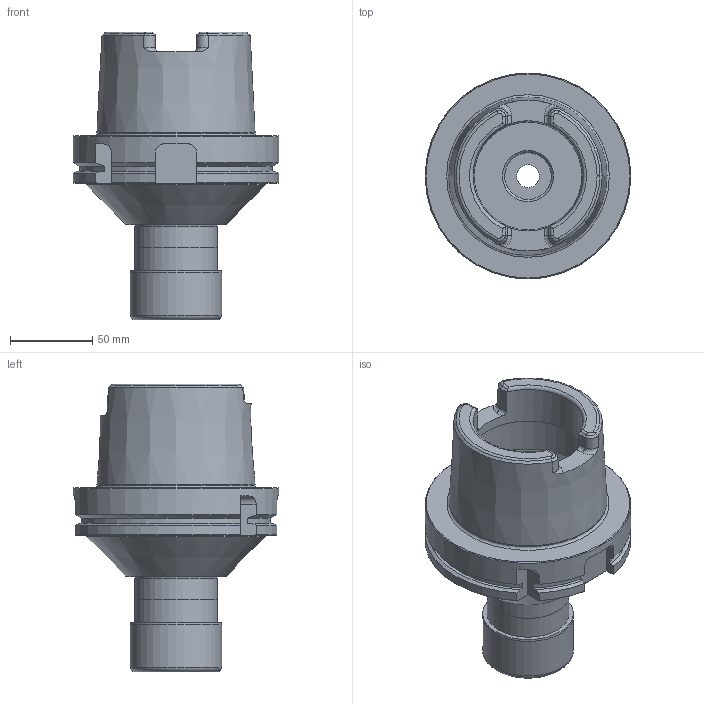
import cadquery as cq
import math


SHANK_TOP_Z = 63.0
SHANK_BASE_Z = 2.2
SHANK_BASE_R = 48.05
TAPER_PER_MM = 0.05
SHANK_TOP_R = SHANK_BASE_R - TAPER_PER_MM * (SHANK_TOP_Z - SHANK_BASE_Z)
SHANK_RIM_FILLET = 2.5
UNDERCUT_R = 47.9
UNDERCUT_FILLET = 1.5

FLANGE_R = 62.5
FLANGE_THICKNESS = 29.0
FLANGE_CHAMFER = 0.5
GROOVE_R = 58.6
GROOVE_TOP_Z = -16.4
GROOVE_FLOOR_TOP_Z = -18.6
GROOVE_FLOOR_BOTTOM_Z = -21.7
GROOVE_STEP_R = 60.5
GROOVE_BOTTOM_Z = -22.85

COLLAR_R = 54.4
COLLAR_HEIGHT = 0.8
CONE_TOP_Z = -FLANGE_THICKNESS - COLLAR_HEIGHT
CONE_BOTTOM_Z = -54.0
CONE_BOTTOM_R = 30.5
NECK_ROOT_R = 50.5 / 2
NECK_ROOT_HEIGHT = 1.0
NECK_R = 50.05 / 2
NECK_STEP_Z = -68.0
NOSE_R = 50.0 / 2

NUT_R = 55.4 / 2
NUT_TOP_Z = -82.0
NUT_BOTTOM_Z = -112.0
NUT_TOP_CHAMFER_R = 55.0 / 2
NUT_TOP_CHAMFER_HEIGHT = 1.3
NUT_FILLET = 3.0
NUT_LIP = 3.0
NOSE_BOTTOM_Z = NUT_BOTTOM_Z + NUT_LIP

MOUTH_R = 67.0 / 2
MOUTH_FILLET = 2.0
MOUTH_BOTTOM_Z = 37.5
RECESS_R = 80.0 / 2
SHOULDER_ANGLE = 30.0
SHOULDER_BOTTOM_Z = MOUTH_BOTTOM_Z - (RECESS_R - MOUTH_R) * math.tan(math.radians(SHOULDER_ANGLE))
RECESS_BOTTOM_Z = 12.2
CAVITY_FLOOR_R = 32.7
CAVITY_FLOOR_Z = -15.0
THREAD_MOUTH_R = 31.0 / 2
THREAD_R = 28.38 / 2
THREAD_DEPTH = 14.0
BORE_R = 14.0 / 2

SLOT_HALF_WIDTH = 12.5
SLOT_FRONT_FLOOR_Z = 51.0
SLOT_BACK_FLOOR_Z = 44.0
SLOT_CORNER_R = 5.0
SLOT_RIM_CHAMFER = 2.0
SLOT_FLOOR_FILLET = 2.5

NOTCH_TOP_Z = -5.0
NOTCH_HEIGHT = FLANGE_THICKNESS + NOTCH_TOP_Z
NOTCH_CORNER_R = 5.0
KEYWAY_WIDTH = 25.0
KEYWAY_FLOOR_Y = 55.0
CORNER_NOTCH_OFFSET = 39.2

CLEARANCE = 5.0

TOLERANCE = 0.01
COS_45 = math.sqrt(0.5)


def revolve(profile):
    """Turn a closed profile, drawn as radius and height, around the Z axis."""
    return profile.close().revolve(360, (0, 0, 0), (0, 1, 0))


def outer_body():
    """Holder without its cavity, slots and notches."""
    fillet_centre_r = UNDERCUT_R + UNDERCUT_FILLET
    return revolve(
        cq.Workplane("XZ")
        .moveTo(0, SHANK_TOP_Z)
        .lineTo(SHANK_TOP_R, SHANK_TOP_Z)
        .lineTo(SHANK_BASE_R, SHANK_BASE_Z)
        .lineTo(UNDERCUT_R, UNDERCUT_FILLET)
        .threePointArc(
            (fillet_centre_r - UNDERCUT_FILLET * COS_45, UNDERCUT_FILLET * (1 - COS_45)),
            (fillet_centre_r, 0),
        )
        .lineTo(FLANGE_R - FLANGE_CHAMFER, 0)
        .lineTo(FLANGE_R, -FLANGE_CHAMFER)
        .lineTo(FLANGE_R, GROOVE_TOP_Z)
        .lineTo(GROOVE_R, GROOVE_FLOOR_TOP_Z)
        .lineTo(GROOVE_R, GROOVE_FLOOR_BOTTOM_Z)
        .lineTo(GROOVE_STEP_R, GROOVE_FLOOR_BOTTOM_Z)
        .lineTo(FLANGE_R, GROOVE_BOTTOM_Z)
        .lineTo(FLANGE_R, FLANGE_CHAMFER - FLANGE_THICKNESS)
        .lineTo(FLANGE_R - FLANGE_CHAMFER, -FLANGE_THICKNESS)
        .lineTo(COLLAR_R, -FLANGE_THICKNESS)
        .lineTo(COLLAR_R, CONE_TOP_Z)
        .lineTo(CONE_BOTTOM_R, CONE_BOTTOM_Z)
        .lineTo(NECK_ROOT_R, CONE_BOTTOM_Z)
        .lineTo(NECK_R, CONE_BOTTOM_Z - NECK_ROOT_HEIGHT)
        .lineTo(NECK_R, NECK_STEP_Z)
        .lineTo(NOSE_R, NECK_STEP_Z)
        .lineTo(NOSE_R, NOSE_BOTTOM_Z)
        .lineTo(0, NOSE_BOTTOM_Z)
    )


def cavity():
    """Space inside the holder: clamping mouth, recess, coolant thread and bore."""
    return revolve(
        cq.Workplane("XZ")
        .moveTo(0, SHANK_TOP_Z)
        .lineTo(MOUTH_R + MOUTH_FILLET, SHANK_TOP_Z)
        .threePointArc(
            (MOUTH_R + MOUTH_FILLET * (1 - COS_45), SHANK_TOP_Z - MOUTH_FILLET * (1 - COS_45)),
            (MOUTH_R, SHANK_TOP_Z - MOUTH_FILLET),
        )
        .lineTo(MOUTH_R, MOUTH_BOTTOM_Z)
        .lineTo(RECESS_R, SHOULDER_BOTTOM_Z)
        .lineTo(RECESS_R, RECESS_BOTTOM_Z)
        .lineTo(CAVITY_FLOOR_R, CAVITY_FLOOR_Z)
        .lineTo(THREAD_MOUTH_R, CAVITY_FLOOR_Z)
        .lineTo(THREAD_R, CAVITY_FLOOR_Z - (THREAD_MOUTH_R - THREAD_R))
        .lineTo(THREAD_R, CAVITY_FLOOR_Z - THREAD_DEPTH)
        .lineTo(BORE_R, CAVITY_FLOOR_Z - THREAD_DEPTH)
        .lineTo(BORE_R, NOSE_BOTTOM_Z)
        .lineTo(0, NOSE_BOTTOM_Z)
    )


def edges_where(body, test):
    """Edges of the body whose centre and middle direction pass a test."""
    return body.newObject([edge for edge in body.edges().vals() if test(edge)])


def is_vertical(edge):
    return abs(edge.tangentAt(0.5).z) > COS_45


def is_slot_line(edge, height):
    """True for the straight edge of a slot wall at a height; its rounded end follows on smoothly."""
    centre = edge.Center()
    on_wall = abs(abs(centre.x) - SLOT_HALF_WIDTH) < TOLERANCE
    return on_wall and abs(centre.z - height) < TOLERANCE and edge.geomType() == "LINE"


def cut_drive_slot(body, side, floor_z):
    """Cut one rim slot on the +Y (1) or -Y (-1) side, with rounded walls, floor and rim edges."""
    slot = cq.Workplane("XY").box(
        2 * SLOT_HALF_WIDTH, FLANGE_R, SHANK_TOP_Z + CLEARANCE - floor_z, centered=(True, True, False)
    )
    body = body.cut(slot.translate((0, side * FLANGE_R / 2, floor_z)))
    body = edges_where(
        body,
        lambda edge: is_vertical(edge)
        and floor_z < edge.Center().z < SHANK_TOP_Z
        and side * edge.Center().y > MOUTH_R
        and abs(edge.Center().x) < SLOT_HALF_WIDTH + TOLERANCE,
    ).fillet(SLOT_CORNER_R)
    return edges_where(body, lambda edge: is_slot_line(edge, floor_z)).fillet(SLOT_FLOOR_FILLET)


def round_shank_rim(body):
    """Chamfer the rim along the slots, then round its outer edge."""
    body = edges_where(body, lambda edge: is_slot_line(edge, SHANK_TOP_Z)).chamfer(SLOT_RIM_CHAMFER)
    return edges_where(
        body,
        lambda edge: edge.geomType() == "CIRCLE" and abs(edge.Center().z - SHANK_TOP_Z) < TOLERANCE,
    ).fillet(SHANK_RIM_FILLET)


def keyway():
    """Flat-floored notch in the -Y side of the flange, open at the bottom."""
    return (
        cq.Workplane("XY")
        .box(KEYWAY_WIDTH, FLANGE_R, NOTCH_HEIGHT, centered=(True, False, False))
        .edges("|Y and >Z")
        .fillet(NOTCH_CORNER_R)
        .translate((0, -KEYWAY_FLOOR_Y - FLANGE_R, -FLANGE_THICKNESS))
    )


def corner_notch():
    """Square notch in the -X -Y side of the flange, rounded where its X wall meets its top."""
    return (
        cq.Workplane("XY")
        .box(FLANGE_R, FLANGE_R, NOTCH_HEIGHT, centered=False)
        .edges(">X and >Z")
        .fillet(NOTCH_CORNER_R)
        .translate(
            (-CORNER_NOTCH_OFFSET - FLANGE_R, -CORNER_NOTCH_OFFSET - FLANGE_R, -FLANGE_THICKNESS)
        )
    )


def make_holder():
    body = cut_drive_slot(outer_body(), -1, SLOT_FRONT_FLOOR_Z)
    body = cut_drive_slot(body, 1, SLOT_BACK_FLOOR_Z)
    body = round_shank_rim(body)
    return body.cut(cavity()).cut(keyway()).cut(keyway().mirror("XZ")).cut(corner_notch())


def make_nut():
    """Cap nut: it surrounds the nose and its lip closes under it, leaving the bore open."""
    return revolve(
        cq.Workplane("XZ")
        .moveTo(NOSE_R, NUT_TOP_Z)
        .lineTo(NUT_TOP_CHAMFER_R, NUT_TOP_Z)
        .lineTo(NUT_R, NUT_TOP_Z - NUT_TOP_CHAMFER_HEIGHT)
        .lineTo(NUT_R, NUT_BOTTOM_Z + NUT_FILLET)
        .threePointArc(
            (NUT_R - NUT_FILLET * (1 - COS_45), NUT_BOTTOM_Z + NUT_FILLET * (1 - COS_45)),
            (NUT_R - NUT_FILLET, NUT_BOTTOM_Z),
        )
        .lineTo(BORE_R, NUT_BOTTOM_Z)
        .lineTo(BORE_R, NOSE_BOTTOM_Z)
        .lineTo(NOSE_R, NOSE_BOTTOM_Z)
    )


holder = make_holder()
nut = make_nut()

result = cq.Compound.makeCompound([holder.val(), nut.val()])